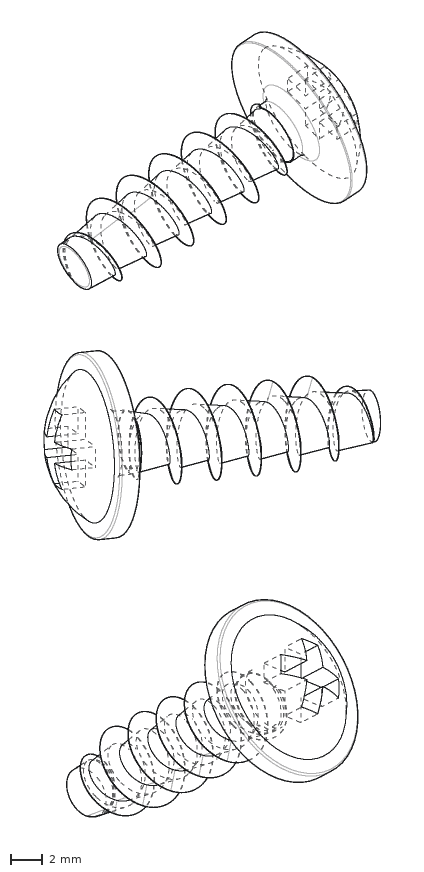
import cadquery as cq
import math


overall_length = 21.85

flange_radius = 12.0 / 2
flange_thickness = 1.35
flange_top_round = 0.13
flange_bottom_round = 0.07
dome_base_radius = 4.92
dome_height = 2.58
dome_apex = flange_thickness + dome_height
dome_sphere_radius = (dome_base_radius**2 + dome_height**2) / (2 * dome_height)
recess_width = 1.38
recess_length = 4.95
recess_depth = 2.19


def dome_y(radius):
    """Height of the dome surface at a distance from the axis."""
    return dome_apex - dome_sphere_radius + math.sqrt(dome_sphere_radius**2 - radius**2)


head_top = dome_y(recess_width / math.sqrt(2))

neck_radius = 2.05
neck_fillet = 0.77
neck_end = -1.49
thread_top = -1.42
core_radius = 1.62
tip_cone_radius = 1.5
tip_cone_height = 0.07
tip_y = head_top - overall_length
tip_shoulder = tip_y + tip_cone_height

pitch = 2.69
blank_end = tip_y - 2 * pitch
first_crest_y = -1.85
crest_radius = 6.01 / 2
crest_flat = 0.05
head_flank_slope = 0.3
tip_flank_slope = 0.33
inner_radius = 1.53
land_high_radius = 2.0
land_start_radius = 2.03
land_low_radius = 1.66
land_overlap = 0.1
land_fade_ratio = 0.36

turn = 2 * math.pi
tooth_start = -0.39 * turn
full_start = turn
fade_start = 4.5 * turn
tooth_end = 5.95 * turn
tooth_start_radius = 2.25
tooth_end_radius = core_radius
tooth_free = (first_crest_y - thread_top) / pitch * turn
thread_stations = [full_start, 2 * turn, 3 * turn, fade_start - turn, 4 * turn, fade_start, 5 * turn, tooth_end]
points_per_turn = 20


def crest_y(angle):
    """Height of the thread helix at an angle around the Y axis."""
    return first_crest_y - pitch * angle / turn


def tooth_radius(angle):
    """Crest radius, which grows near the head and fades near the tip."""
    if angle < full_start:
        share = (angle - tooth_start) / (full_start - tooth_start)
        return tooth_start_radius + share * (crest_radius - tooth_start_radius)
    if angle > fade_start:
        share = (angle - fade_start) / (tooth_end - fade_start)
        return crest_radius + share * (tooth_end_radius - crest_radius)
    return crest_radius


def tooth_section(angle):
    """Corners (radius, y) of the tooth cross-section."""
    crest = tooth_radius(angle)
    height = crest - inner_radius
    head_side = min(crest_y(angle) + crest_flat / 2, thread_top)
    tip_side = head_side - crest_flat
    return [
        (inner_radius, min(head_side + head_flank_slope * height, thread_top)),
        (crest, head_side),
        (crest, tip_side),
        (inner_radius, tip_side - tip_flank_slope * height),
    ]


def land_section(angle):
    """Corners (radius, y) of the land between the tooth at this angle and the next turn."""
    if angle < 0:
        crest = crest_radius
        high = land_high_radius - (land_start_radius - land_high_radius) * angle / turn
    elif angle < fade_start:
        crest = tooth_radius(angle)
        high = land_high_radius
    else:
        crest = tooth_radius(angle)
        high = min(land_high_radius, core_radius + land_fade_ratio * (crest - core_radius))
    flank_run = tip_flank_slope * (crest - high)
    top = min(crest_y(angle) - max(flank_run - land_overlap, crest_flat), neck_end + land_overlap)
    next_flank_run = head_flank_slope * (tooth_radius(angle + turn) - land_low_radius)
    bottom = crest_y(angle + turn) + max(next_flank_run - land_overlap, crest_flat)
    return [
        (inner_radius, top),
        (high, top),
        (land_low_radius, bottom),
        (inner_radius, bottom),
    ]


def helical_rails(section, start, end):
    """Curves followed by the corners of a section as the angle around the Y axis grows."""
    count = math.ceil((end - start) / turn * points_per_turn)
    angles = [start + (end - start) * i / count for i in range(count + 1)]
    rails = []
    for corner in range(len(section(start))):
        path = []
        for angle in angles:
            radius, y = section(angle)[corner]
            path.append(cq.Vector(radius * math.sin(angle), y, -radius * math.cos(angle)))
        rails.append(cq.Edge.makeSpline(path))
    return rails


def end_cap(rails, place):
    """Flat face closing the rails at their start (place 0) or finish (place 1)."""
    corners = [rail.positionAt(place) for rail in rails]
    return cq.Face.makeFromWires(cq.Wire.makePolygon(corners, close=True))


def helical_solid(section, stations):
    """Solid swept by a section through the angles at which its law of change may switch."""
    spans = [helical_rails(section, start, end) for start, end in zip(stations, stations[1:])]
    faces = [end_cap(spans[0], 0), end_cap(spans[-1], 1)]
    for rails in spans:
        faces += [cq.Face.makeRuledSurface(rails[i - 1], rails[i]) for i in range(len(rails))]
    return cq.Workplane(cq.Solid.makeSolid(cq.Shell.makeShell(faces)).fix())


def head():
    flange = (
        cq.Workplane("XZ").circle(flange_radius).extrude(-flange_thickness)
        .faces(">Y").edges().fillet(flange_top_round)
        .faces("<Y").edges().fillet(flange_bottom_round)
    )
    mid_radius = dome_base_radius / 2
    dome = (
        cq.Workplane("XY").lineTo(dome_base_radius, 0).lineTo(dome_base_radius, flange_thickness)
        .threePointArc((mid_radius, dome_y(mid_radius)), (0, dome_apex)).close()
        .revolve(360, (0, 0, 0), (0, 1, 0))
    )
    solid_head = flange.union(dome)
    for size in ((recess_length, recess_width), (recess_width, recess_length)):
        slot = cq.Workplane("XZ", origin=(0, dome_apex, 0)).rect(*size).extrude(recess_depth)
        solid_head = solid_head.cut(slot)
    return solid_head


def shank_core():
    fillet_mid = neck_fillet * (1 - math.sqrt(0.5))
    return (
        cq.Workplane("XY").lineTo(neck_radius + neck_fillet, 0)
        .threePointArc((neck_radius + fillet_mid, -fillet_mid), (neck_radius, -neck_fillet))
        .lineTo(neck_radius, neck_end).lineTo(core_radius, neck_end)
        .lineTo(core_radius, blank_end).lineTo(0, blank_end).close()
        .revolve(360, (0, 0, 0), (0, 1, 0))
    )


def teeth():
    return helical_solid(tooth_section, [tooth_start, tooth_free, *thread_stations])


def lands():
    return helical_solid(land_section, [-turn, 0, *thread_stations])


def beyond_tip():
    """Overlong part of the blank, removed to leave a flat tip."""
    return (
        cq.Workplane("XZ", origin=(0, tip_shoulder, 0)).circle(crest_radius)
        .extrude(tip_shoulder - blank_end)
    )


def tip_cone():
    return (
        cq.Workplane("XY").moveTo(0, tip_y).lineTo(tip_cone_radius, tip_shoulder)
        .lineTo(0, tip_shoulder).close()
        .revolve(360, (0, 0, 0), (0, 1, 0))
    )


blank = head().union(shank_core()).union(lands()).union(teeth())
result = blank.cut(beyond_tip()).union(tip_cone())